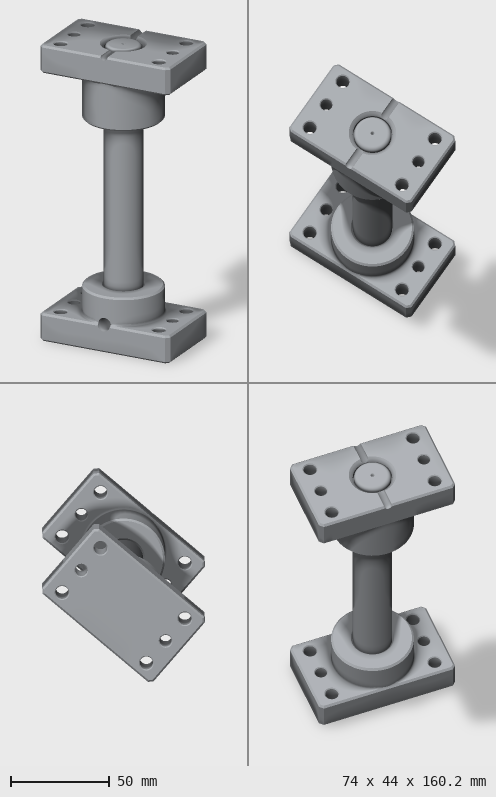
import cadquery as cq
TOTAL_HEIGHT = 160.23

PLATE_LENGTH = 74.0
PLATE_WIDTH = 44.0
PLATE_THICKNESS = 15.0
PLATE_CORNER_CHAMFER = 2.0
PLATE_EDGE_CHAMFER = 1.0

BOSS_RADIUS = 21.0
LOWER_BOSS_LENGTH = 15.0
UPPER_BOSS_LENGTH = 25.0
BOSS_CHAMFER = 1.0
BOSS_ROOT_FILLET = 1.0

ROW_X = 28.0
OUTER_HOLE_Y = 15.0
OUTER_HOLE_DIAMETER = 6.6
MIDDLE_HOLE_DIAMETER = 6.0
HOLE_CHAMFER = 0.5

PILLAR_RADIUS = 10.0
PILLAR_LENGTH = 160.0
LEAD_RADIUS = 9.4
LEAD_LENGTH = 5.0
PILLAR_END_FILLET = 2.0
CENTRE_MARK_RADIUS = 1.0
CENTRE_MARK_DEPTH = 1.73
LOCK_GROOVE_RADIUS = 8.75
LOCK_GROOVE_FLOOR = 5.5

BORE_CHAMFER = 1.0
TOP_COUNTERSINK = 2.0
OIL_GROOVE_RADIUS = 2.0
LOCK_HOLE_RADIUS = 3.5

LOCK_HEIGHT = PLATE_THICKNESS


def chamfered_hole(x, y, diameter):
    """Cutter for a through hole with a chamfer at both plate faces."""
    radius = diameter / 2
    mouth_radius = radius + HOLE_CHAMFER
    profile = (
        cq.Workplane("XZ")
        .moveTo(0, 0)
        .lineTo(mouth_radius, 0)
        .lineTo(radius, HOLE_CHAMFER)
        .lineTo(radius, PLATE_THICKNESS - HOLE_CHAMFER)
        .lineTo(mouth_radius, PLATE_THICKNESS)
        .lineTo(0, PLATE_THICKNESS)
        .close()
    )
    return profile.revolve(360, (0, 0), (0, 1)).translate((x, y, 0))


def make_plate():
    """Chamfered flange plate with its underside on Z = 0 and six mounting holes."""
    plate = (
        cq.Workplane("XY")
        .box(PLATE_LENGTH, PLATE_WIDTH, PLATE_THICKNESS, centered=(True, True, False))
        .edges("|Z")
        .chamfer(PLATE_CORNER_CHAMFER)
        .faces("<Z or >Z")
        .edges()
        .chamfer(PLATE_EDGE_CHAMFER)
    )
    for x in (-ROW_X, ROW_X):
        plate = plate.cut(chamfered_hole(x, 0, MIDDLE_HOLE_DIAMETER))
        for y in (-OUTER_HOLE_Y, OUTER_HOLE_Y):
            plate = plate.cut(chamfered_hole(x, y, OUTER_HOLE_DIAMETER))
    return plate


def make_boss(length):
    """Boss on top of the plate: chamfered free end and a filleted root."""
    root_radius = BOSS_RADIUS + BOSS_ROOT_FILLET
    root_top = PLATE_THICKNESS + BOSS_ROOT_FILLET
    boss = (
        cq.Workplane("XY")
        .workplane(offset=PLATE_THICKNESS)
        .circle(BOSS_RADIUS)
        .extrude(length)
        .faces(">Z")
        .chamfer(BOSS_CHAMFER)
    )
    root = (
        cq.Workplane("XZ")
        .moveTo(0, PLATE_THICKNESS)
        .lineTo(root_radius, PLATE_THICKNESS)
        .radiusArc((BOSS_RADIUS, root_top), BOSS_ROOT_FILLET)
        .lineTo(0, root_top)
        .close()
        .revolve(360, (0, 0), (0, 1))
    )
    flat_half_width = PLATE_WIDTH / 2 - PLATE_EDGE_CHAMFER
    root_limit = (
        cq.Workplane("YZ")
        .moveTo(-flat_half_width, PLATE_THICKNESS)
        .lineTo(flat_half_width, PLATE_THICKNESS)
        .lineTo(flat_half_width - BOSS_ROOT_FILLET, root_top)
        .lineTo(BOSS_ROOT_FILLET - flat_half_width, root_top)
        .close()
        .extrude(PLATE_LENGTH / 2, both=True)
    )
    return boss.union(root.intersect(root_limit))


def make_bore(length):
    """Cutter for the pillar bore, widened by a chamfer at the boss end."""
    end = PLATE_THICKNESS + length
    profile = (
        cq.Workplane("XZ")
        .moveTo(0, 0)
        .lineTo(PILLAR_RADIUS, 0)
        .lineTo(PILLAR_RADIUS, end - BORE_CHAMFER)
        .lineTo(PILLAR_RADIUS + BORE_CHAMFER, end)
        .lineTo(0, end)
        .close()
    )
    return profile.revolve(360, (0, 0), (0, 1))


def make_holder(boss_length):
    """Plate and boss in one piece, bored for the pillar, boss pointing up."""
    holder = make_plate().union(make_boss(boss_length))
    return holder.cut(make_bore(boss_length))


def make_lower_holder():
    """Lower holder with a cross hole from its front into the pillar's lock groove."""
    lock_hole = (
        cq.Workplane("XZ")
        .center(0, LOCK_HEIGHT)
        .circle(LOCK_HOLE_RADIUS)
        .extrude(PLATE_WIDTH / 2)
    )
    return make_holder(LOWER_BOSS_LENGTH).cut(lock_hole)


def make_upper_holder():
    """Upper holder, boss pointing down, with a countersunk bore and an oil groove across its top."""
    oil_groove = (
        cq.Workplane("XZ")
        .moveTo(-OIL_GROOVE_RADIUS, 0)
        .radiusArc((OIL_GROOVE_RADIUS, 0), OIL_GROOVE_RADIUS)
        .close()
        .extrude(PLATE_WIDTH, both=True)
    )
    countersink = cq.Workplane(
        cq.Solid.makeCone(PILLAR_RADIUS + TOP_COUNTERSINK, PILLAR_RADIUS, TOP_COUNTERSINK)
    )
    holder = make_holder(UPPER_BOSS_LENGTH).cut(countersink).cut(oil_groove)
    return holder.rotate((0, 0, 0), (0, 1, 0), 180).translate((0, 0, TOTAL_HEIGHT))


def make_pillar():
    """Pillar with a bevelled lock groove and, at its top, a rounded lead-in with a centre mark."""
    groove_depth = PILLAR_RADIUS - LOCK_GROOVE_RADIUS
    groove_floor = LOCK_GROOVE_FLOOR / 2
    groove_mouth = groove_floor + groove_depth
    end_flat = LEAD_RADIUS - PILLAR_END_FILLET
    profile = (
        cq.Workplane("XZ")
        .moveTo(0, 0)
        .lineTo(PILLAR_RADIUS, 0)
        .lineTo(PILLAR_RADIUS, LOCK_HEIGHT - groove_mouth)
        .lineTo(LOCK_GROOVE_RADIUS, LOCK_HEIGHT - groove_floor)
        .lineTo(LOCK_GROOVE_RADIUS, LOCK_HEIGHT + groove_floor)
        .lineTo(PILLAR_RADIUS, LOCK_HEIGHT + groove_mouth)
        .lineTo(PILLAR_RADIUS, PILLAR_LENGTH - LEAD_LENGTH)
        .lineTo(LEAD_RADIUS, PILLAR_LENGTH - LEAD_LENGTH)
        .lineTo(LEAD_RADIUS, PILLAR_LENGTH - PILLAR_END_FILLET)
        .radiusArc((end_flat, PILLAR_LENGTH), -PILLAR_END_FILLET)
        .lineTo(CENTRE_MARK_RADIUS, PILLAR_LENGTH)
        .lineTo(0, PILLAR_LENGTH - CENTRE_MARK_DEPTH)
        .close()
    )
    return profile.revolve(360, (0, 0), (0, 1))


lower_holder = make_lower_holder().solids()
upper_holder = make_upper_holder().solids()
pillar = make_pillar().solids()

result = cq.Compound.makeCompound([lower_holder.val(), upper_holder.val(), pillar.val()])